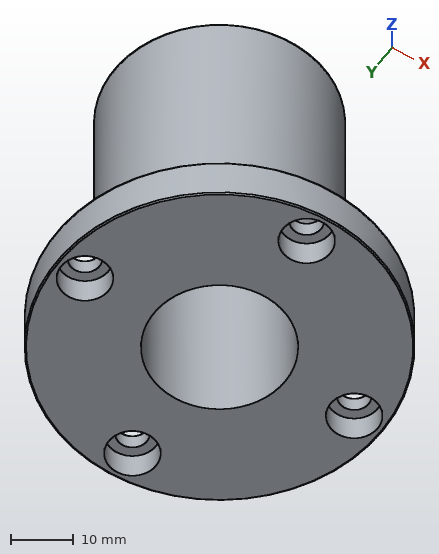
import cadquery as cq

flange_diameter = 62.0
flange_thickness = 8.0
body_diameter = 40.0
total_height = 58.0
bore_diameter = 25.0

bolt_hole_count = 4
bolt_hole_diameter = 5.5
bolt_circle_diameter = 50.95
counterbore_diameter = 9.0
counterbore_depth = 5.1

edge_chamfer = 0.25


def make_flange():
    disc = cq.Workplane("XY").circle(flange_diameter / 2).extrude(flange_thickness)
    return disc.edges().chamfer(edge_chamfer)


def make_body():
    cylinder = cq.Workplane("XY").circle(body_diameter / 2).extrude(total_height)
    return cylinder.faces(">Z").edges().chamfer(edge_chamfer)


def make_bore():
    return cq.Workplane("XY").circle(bore_diameter / 2).extrude(total_height)


def make_bolt_pattern(diameter, height):
    return (
        cq.Workplane("XY")
        .polarArray(bolt_circle_diameter / 2, 0, 360, bolt_hole_count)
        .circle(diameter / 2)
        .extrude(height)
    )


def make_bolt_holes():
    through_holes = make_bolt_pattern(bolt_hole_diameter, flange_thickness)
    counterbores = make_bolt_pattern(counterbore_diameter, counterbore_depth)
    return through_holes.union(counterbores)


result = make_flange().union(make_body()).cut(make_bore()).cut(make_bolt_holes())